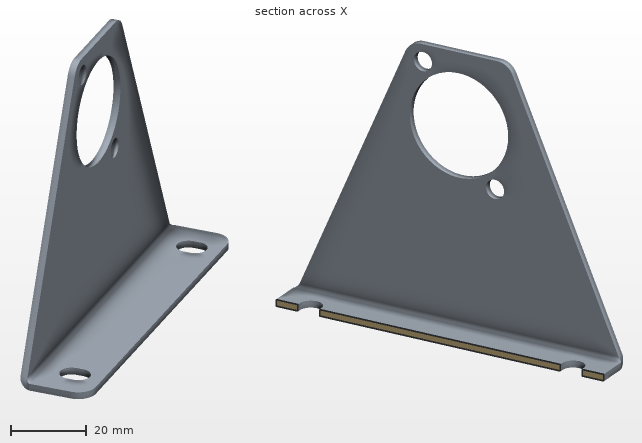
import cadquery as cq
import math

length = 100.0
height = 80.0
foot_depth = 20.0
thickness = 2.0
inner_bend_radius = 1.0
outer_bend_radius = inner_bend_radius + thickness
corner_radius = 5.0

top_width = 30.0
bore_diameter = 30.0
bore_height = 59.0
bolt_diameter = 5.5
bolt_offset_y = 11.0
bolt_offset_z = 16.0

slot_length = 8.5
slot_width = 6.5
slot_x = 12.0
slot_spacing = 80.0

side_slope = (length - top_width) / 2 / height
half_length = length / 2
plate_base_half_width = half_length - side_slope * outer_bend_radius


def make_plate():
    plate = (
        cq.Workplane("YZ")
        .moveTo(-plate_base_half_width, outer_bend_radius)
        .lineTo(plate_base_half_width, outer_bend_radius)
        .lineTo(top_width / 2, height)
        .lineTo(-top_width / 2, height)
        .close()
        .extrude(thickness)
        .edges("|X and >Z")
        .fillet(corner_radius)
    )
    bore = (
        cq.Workplane("YZ")
        .center(0, bore_height)
        .circle(bore_diameter / 2)
        .extrude(thickness)
    )
    bolt_holes = (
        cq.Workplane("YZ")
        .center(0, bore_height)
        .pushPoints([(-bolt_offset_y, bolt_offset_z), (bolt_offset_y, -bolt_offset_z)])
        .circle(bolt_diameter / 2)
        .extrude(thickness)
    )
    return plate.cut(bore).cut(bolt_holes)


def make_foot():
    flat_depth = foot_depth - outer_bend_radius
    foot = (
        cq.Workplane("XY")
        .box(flat_depth, length, thickness, centered=(False, True, False))
        .translate((outer_bend_radius, 0, 0))
        .edges("|Z and >X")
        .fillet(corner_radius)
    )
    slots = (
        cq.Workplane("XY")
        .pushPoints([(slot_x, -slot_spacing / 2), (slot_x, slot_spacing / 2)])
        .slot2D(slot_length, slot_width)
        .extrude(thickness)
    )
    return foot.cut(slots)


def bend_end_curve(radius):
    """Curve about the bend axis whose Y narrows evenly from foot to plate."""
    steps = 8
    points = []
    for step in range(steps + 1):
        fraction = step / steps
        angle = fraction * math.pi / 2
        x = outer_bend_radius - radius * math.sin(angle)
        z = outer_bend_radius - radius * math.cos(angle)
        y = half_length + fraction * (plate_base_half_width - half_length)
        points.append(cq.Vector(x, y, z))
    return cq.Edge.makeSpline(points)


def make_bend():
    inner_shift = inner_bend_radius * math.sqrt(0.5)
    outer_shift = outer_bend_radius * math.sqrt(0.5)
    axis = outer_bend_radius
    bend = (
        cq.Workplane("XZ", origin=(0, half_length, 0))
        .moveTo(axis, 0)
        .threePointArc((axis - outer_shift, axis - outer_shift), (0, axis))
        .lineTo(thickness, axis)
        .threePointArc((axis - inner_shift, axis - inner_shift), (axis, thickness))
        .close()
        .extrude(length)
    )
    overlap = inner_bend_radius / 2
    end_face = cq.Face.makeRuledSurface(
        bend_end_curve(inner_bend_radius - overlap),
        bend_end_curve(outer_bend_radius + overlap),
    )
    trim_length = 2 * outer_bend_radius
    trim = cq.Workplane(cq.Solid.extrudeLinear(end_face, cq.Vector(0, trim_length, 0)))
    return bend.cut(trim).cut(trim.mirror("XZ"))


result = make_plate().union(make_bend()).union(make_foot())